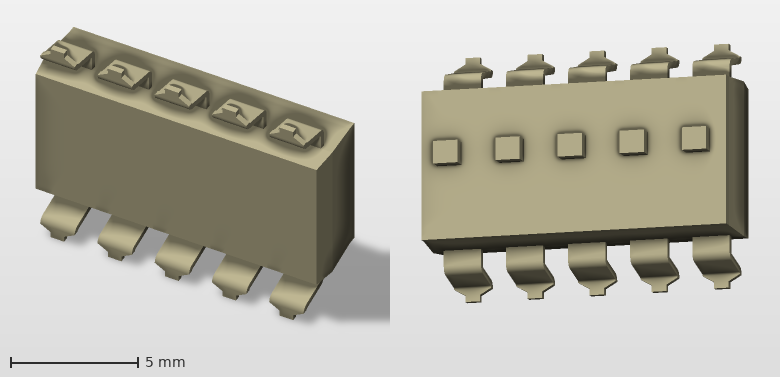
import cadquery as cq
import math

BODY_LENGTH = 12.7
BODY_HEIGHT = 6.2
DRAFT_INSET = 0.121
FRONT_DEPTH = 1.1
BACK_DEPTH = 2.1
BACK_BAND = 0.38

PIN_COUNT = 5
PIN_PITCH = 2.54
PIN_WIDTH = 1.52
PIN_THICKNESS = 0.25
PIN_INNER_RADIUS = 0.08
PIN_SLOPE_ANGLE = 13.0
PIN_FRONT = 1.46
PIN_SPAN = 9.77
PIN_EMBED = 0.25
TIP_WIDTH = 0.6
TIP_LENGTH = 0.25
TIP_TAPER_LENGTH = 0.27

STUD_WIDTH = 0.99
STUD_HEIGHT = 0.9
STUD_LENGTH = 0.6
STUD_OFFSET = 0.4

PIN_POSITIONS = [(i - (PIN_COUNT - 1) / 2) * PIN_PITCH for i in range(PIN_COUNT)]


def body_section(y):
    """Workplane at depth y whose normal points toward -Y."""
    return cq.Workplane("XZ", origin=(0, y, 0))


def make_body():
    end_length = BODY_LENGTH - 2 * DRAFT_INSET
    end_height = BODY_HEIGHT - 2 * DRAFT_INSET
    band_start = BACK_DEPTH - BACK_BAND
    band = body_section(BACK_DEPTH).rect(end_length, end_height).extrude(BACK_BAND)
    rear = (
        body_section(band_start)
        .rect(end_length, end_height)
        .workplane(offset=band_start)
        .rect(BODY_LENGTH, BODY_HEIGHT)
        .loft(ruled=True)
    )
    front = (
        body_section(0)
        .rect(BODY_LENGTH, BODY_HEIGHT)
        .workplane(offset=FRONT_DEPTH)
        .rect(end_length, end_height)
        .loft(ruled=True)
    )
    return band.union(rear).union(front)


def make_upper_pin():
    """Pin of the upper row, centred on X = 0."""
    slope = math.radians(PIN_SLOPE_ANGLE)
    half_bend_tangent = math.tan((math.pi / 2 - slope) / 2)
    outer_radius = PIN_INNER_RADIUS + PIN_THICKNESS

    tip_z = PIN_SPAN / 2
    shoulder_z = tip_z - TIP_LENGTH - TIP_TAPER_LENGTH
    root_z = BODY_HEIGHT / 2 - PIN_EMBED
    tip_back = PIN_THICKNESS - PIN_FRONT
    corner_shift = PIN_THICKNESS * half_bend_tangent
    upper_inner = (tip_back, shoulder_z - PIN_INNER_RADIUS * half_bend_tangent)
    upper_outer = (-PIN_FRONT, upper_inner[1] - corner_shift)
    lower_inner = (0, upper_outer[1] - PIN_FRONT * math.tan(slope))
    lower_outer = (PIN_THICKNESS, lower_inner[1] + corner_shift)

    strip = (
        cq.Workplane("YZ")
        .moveTo(0, root_z)
        .lineTo(*lower_inner)
        .lineTo(*upper_outer)
        .lineTo(-PIN_FRONT, tip_z)
        .lineTo(tip_back, tip_z)
        .lineTo(*upper_inner)
        .lineTo(*lower_outer)
        .lineTo(PIN_THICKNESS, root_z)
        .close()
        .extrude(PIN_WIDTH / 2, both=True)
    )
    bends = [
        (lower_inner, PIN_INNER_RADIUS),
        (lower_outer, outer_radius),
        (upper_inner, PIN_INNER_RADIUS),
        (upper_outer, outer_radius),
    ]
    for (y, z), radius in bends:
        strip = strip.edges("|X").edges(cq.NearestToPointSelector((0, y, z))).fillet(radius)

    outline = (
        body_section(PIN_THICKNESS)
        .moveTo(-PIN_WIDTH / 2, root_z)
        .lineTo(-PIN_WIDTH / 2, shoulder_z)
        .lineTo(-TIP_WIDTH / 2, tip_z - TIP_LENGTH)
        .lineTo(-TIP_WIDTH / 2, tip_z)
        .lineTo(TIP_WIDTH / 2, tip_z)
        .lineTo(TIP_WIDTH / 2, tip_z - TIP_LENGTH)
        .lineTo(PIN_WIDTH / 2, shoulder_z)
        .lineTo(PIN_WIDTH / 2, root_z)
        .close()
        .extrude(PIN_FRONT + PIN_THICKNESS)
    )
    return strip.intersect(outline)


def make_stud():
    return (
        body_section(BACK_DEPTH + STUD_LENGTH)
        .center(0, STUD_OFFSET)
        .rect(STUD_WIDTH, STUD_HEIGHT)
        .extrude(STUD_LENGTH)
    )


upper_pin = make_upper_pin()
lower_pin = upper_pin.mirror("XY")
stud = make_stud()

result = make_body()
for x in PIN_POSITIONS:
    for feature in (upper_pin, lower_pin, stud):
        result = result.union(feature.translate((x, 0, 0)))